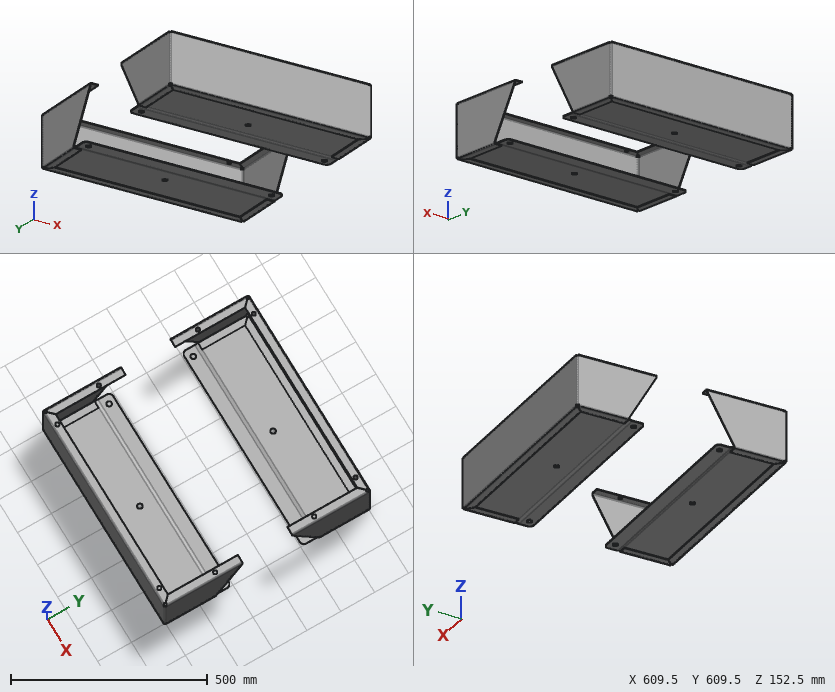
import cadquery as cq
import math


LENGTH = 609.5
HEIGHT = 152.5
HALF = LENGTH / 2

SHEET = 2.75
OUTER_BEND = 4.0
INNER_BEND = OUTER_BEND - SHEET

FLANGE_WIDTH = 25.0
MITRE_GAP = 0.5
CORNER_RELIEF = 6.0
RELIEF_HOLE_DIAMETER = 7.5
WING_TOP_DEPTH = 231.5
WING_BOTTOM_DEPTH = 152.0
WING_TIP_HEIGHT = 7.5
FLANGE_HOLE_DIAMETER = 11.0
FLANGE_HOLE_INSET = 14.5
LONG_FLANGE_HOLE_X = 254.0
WING_HOLE_DEPTH = 158.5

FLOOR_INSET = OUTER_BEND
FLOOR_CORNER_RADIUS = 12.0
STEP_START_DEPTH = WING_BOTTOM_DEPTH
STEP_END_DEPTH = 162.0
TONGUE_DEPTH = 200.0
FLOOR_HOLE_DIAMETER = 14.0
CENTRE_HOLE_DEPTH = 108.0
TONGUE_HOLE_X = 276.0
TONGUE_HOLE_DEPTH = 180.5


def y_at(depth):
    """Y coordinate at a depth inward from the outer face."""
    return depth - HALF


def upright_channel():
    """The three upright sides, between the bends, with rounded vertical corners."""
    def rounded_block(inset, corner_radius):
        return (
            cq.Workplane("XY", origin=(0, 0, OUTER_BEND))
            .rect(LENGTH - 2 * inset, LENGTH - 2 * inset)
            .extrude(HEIGHT - 2 * OUTER_BEND)
            .edges("|Z")
            .fillet(corner_radius)
        )

    wing_side = (
        cq.Workplane("YZ", origin=(-HALF, 0, 0))
        .polyline([
            (y_at(0), 0),
            (y_at(WING_BOTTOM_DEPTH), 0),
            (y_at(WING_BOTTOM_DEPTH), OUTER_BEND),
            (y_at(WING_TOP_DEPTH), HEIGHT - WING_TIP_HEIGHT),
            (y_at(WING_TOP_DEPTH), HEIGHT),
            (y_at(0), HEIGHT),
        ])
        .close()
        .extrude(LENGTH)
    )
    outside = rounded_block(0, OUTER_BEND)
    inside = rounded_block(SHEET, INNER_BEND)
    return outside.cut(inside).intersect(wing_side)


def flange_strip(plane, length):
    """A bottom flange and its bend: local x runs inward from the outer face, local y is up."""
    return (
        cq.Workplane(plane)
        .moveTo(0, OUTER_BEND)
        .radiusArc((OUTER_BEND, 0), -OUTER_BEND)
        .lineTo(FLANGE_WIDTH, 0)
        .lineTo(FLANGE_WIDTH, SHEET)
        .lineTo(OUTER_BEND, SHEET)
        .radiusArc((SHEET, OUTER_BEND), INNER_BEND)
        .close()
        .extrude(length)
    )


def flange_ring(wing_depth):
    """Bottom flanges along the three sides, mitred and relieved where they meet at the corners."""
    end_offset = MITRE_GAP / math.sqrt(2)
    inner_end = FLANGE_WIDTH + end_offset
    relief_end = CORNER_RELIEF - end_offset

    long_plane = cq.Plane(origin=(-HALF, -HALF, 0), xDir=(0, 1, 0), normal=(1, 0, 0))
    long_outline = (
        cq.Workplane("XY")
        .polyline([
            (CORNER_RELIEF - HALF, y_at(0)),
            (HALF - CORNER_RELIEF, y_at(0)),
            (HALF - CORNER_RELIEF, y_at(relief_end)),
            (HALF - inner_end, y_at(FLANGE_WIDTH)),
            (inner_end - HALF, y_at(FLANGE_WIDTH)),
            (CORNER_RELIEF - HALF, y_at(relief_end)),
        ])
        .close()
        .extrude(OUTER_BEND)
    )
    long_flange = flange_strip(long_plane, LENGTH).intersect(long_outline)

    wing_plane = cq.Plane(origin=(-HALF, y_at(wing_depth), 0), xDir=(1, 0, 0), normal=(0, -1, 0))
    wing_outline = (
        cq.Workplane("XY")
        .polyline([
            (-HALF, y_at(CORNER_RELIEF)),
            (relief_end - HALF, y_at(CORNER_RELIEF)),
            (FLANGE_WIDTH - HALF, y_at(inner_end)),
            (FLANGE_WIDTH - HALF, y_at(wing_depth)),
            (-HALF, y_at(wing_depth)),
        ])
        .close()
        .extrude(OUTER_BEND)
    )
    wing_flange = flange_strip(wing_plane, wing_depth).intersect(wing_outline)

    relief_holes = (
        cq.Workplane("XY")
        .pushPoints([(side * (HALF - CORNER_RELIEF), y_at(CORNER_RELIEF)) for side in (-1, 1)])
        .circle(RELIEF_HOLE_DIAMETER / 2)
        .extrude(OUTER_BEND)
    )
    flanges = (long_flange, wing_flange, wing_flange.mirror("YZ"))
    return [flange.cut(relief_holes) for flange in flanges]


def make_wall():
    """Three-sided wall with inward flanges at the bottom and, with screw holes, at the top."""
    wall = upright_channel()
    for flange in flange_ring(WING_BOTTOM_DEPTH):
        wall = wall.union(flange)
    for flange in flange_ring(WING_TOP_DEPTH):
        wall = wall.union(flange.mirror("XY").translate((0, 0, HEIGHT)))

    hole_points = []
    for side in (-1, 1):
        hole_points.append((side * LONG_FLANGE_HOLE_X, y_at(FLANGE_HOLE_INSET)))
        hole_points.append((side * (HALF - FLANGE_HOLE_INSET), y_at(WING_HOLE_DEPTH)))
    holes = (
        cq.Workplane("XY", origin=(0, 0, HEIGHT - OUTER_BEND))
        .pushPoints(hole_points)
        .circle(FLANGE_HOLE_DIAMETER / 2)
        .extrude(OUTER_BEND)
    )
    return wall.cut(holes)


def make_floor():
    """Floor plate resting on the bottom flanges, stepped down to a tongue at ground level."""
    half_width = HALF - FLOOR_INSET
    step_angle = math.asin(SHEET / (STEP_END_DEPTH - STEP_START_DEPTH))

    def around_bend(depth, angle):
        """Point of a bend's outer arc, at an angle turned from vertical about its inside corner."""
        return (y_at(depth) + SHEET * math.sin(angle), SHEET + SHEET * math.cos(angle))

    floor = (
        cq.Workplane("YZ", origin=(-half_width, 0, 0))
        .moveTo(y_at(FLOOR_INSET), SHEET)
        .lineTo(y_at(STEP_START_DEPTH), SHEET)
        .lineTo(*around_bend(STEP_END_DEPTH, math.pi + step_angle))
        .threePointArc(
            around_bend(STEP_END_DEPTH, math.pi + step_angle / 2),
            around_bend(STEP_END_DEPTH, math.pi),
        )
        .lineTo(y_at(TONGUE_DEPTH), 0)
        .lineTo(y_at(TONGUE_DEPTH), SHEET)
        .lineTo(y_at(STEP_END_DEPTH), SHEET)
        .lineTo(*around_bend(STEP_START_DEPTH, step_angle))
        .threePointArc(
            around_bend(STEP_START_DEPTH, step_angle / 2),
            around_bend(STEP_START_DEPTH, 0),
        )
        .lineTo(y_at(FLOOR_INSET), 2 * SHEET)
        .close()
        .extrude(2 * half_width)
    )
    floor = floor.edges("|Z and (<Y or >Y)").fillet(FLOOR_CORNER_RADIUS)

    hole_points = [(0, y_at(CENTRE_HOLE_DEPTH))]
    for side in (-1, 1):
        hole_points.append((side * TONGUE_HOLE_X, y_at(TONGUE_HOLE_DEPTH)))
    holes = (
        cq.Workplane("XY")
        .pushPoints(hole_points)
        .circle(FLOOR_HOLE_DIAMETER / 2)
        .extrude(2 * SHEET)
    )
    return floor.cut(holes)


wall = make_wall()
floor = make_floor()

bodies = []
for turn in (0, 180):
    for body in (wall, floor):
        bodies.append(body.rotate((0, 0, 0), (0, 0, 1), turn).solids().val())

result = cq.Compound.makeCompound(bodies)